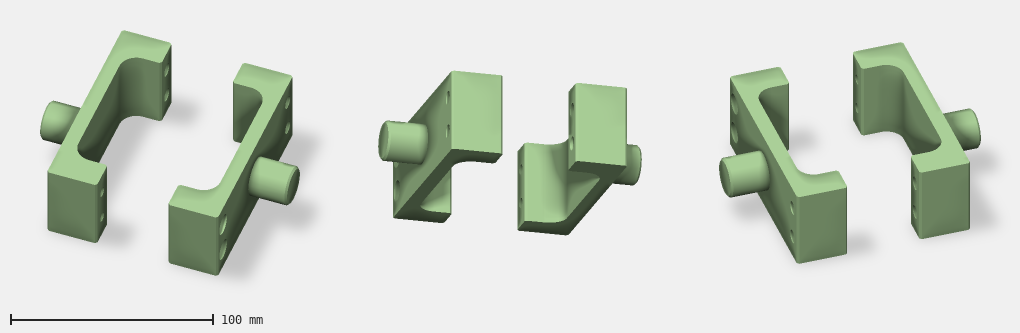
import cadquery as cq

TOTAL_LENGTH = 130.0
FRAME_WIDTH = 105.0
FRAME_HEIGHT = 41.0

BRACKET_DEPTH = 26.3
WALL = 7.5
OPENING_WIDTH = 75.0
INNER_RADIUS = 9.0
EDGE_CHAMFER = 1.0

TRUNNION_DIAMETER = 20.0
TRUNNION_LENGTH = 20.0
TRUNNION_CHAMFER = 1.0

HOLE_PITCH_Z = 17.5
CLEARANCE_DIAMETER = 6.9
COUNTERBORE_DIAMETER = 10.7
COUNTERBORE_DEPTH = BRACKET_DEPTH / 2
THREAD_DIAMETER = 5.1
THREAD_RELIEF_DEPTH = BRACKET_DEPTH / 2

OUTER_X = -TOTAL_LENGTH / 2 + TRUNNION_LENGTH
INNER_X = OUTER_X + BRACKET_DEPTH
ARM_WIDTH = (FRAME_WIDTH - OPENING_WIDTH) / 2
HOLE_Y = (FRAME_WIDTH - ARM_WIDTH) / 2


def frame():
    """C-shaped block, open toward +X, with chamfered upright outer edges."""
    block = cq.Workplane("XY").box(
        BRACKET_DEPTH, FRAME_WIDTH, FRAME_HEIGHT
    ).translate((OUTER_X + BRACKET_DEPTH / 2, 0, 0))
    opening_length = 2 * (BRACKET_DEPTH - WALL)
    opening = (
        cq.Workplane("XY")
        .box(opening_length, OPENING_WIDTH, FRAME_HEIGHT)
        .edges("|Z and <X")
        .fillet(INNER_RADIUS)
        .translate((INNER_X, 0, 0))
    )
    body = block.cut(opening)
    outer_corners = body.edges("|Z").edges("<X or >X")
    return outer_corners.chamfer(EDGE_CHAMFER)


def trunnion():
    """Chamfered stub shaft pointing in -X from the outer face."""
    return (
        cq.Workplane("YZ", origin=(OUTER_X, 0, 0))
        .circle(TRUNNION_DIAMETER / 2)
        .extrude(-TRUNNION_LENGTH)
        .faces("<X")
        .chamfer(TRUNNION_CHAMFER)
    )


def bore_pair(y, diameter, depth):
    """Two bores, one above the other, cut in from the outer face."""
    return (
        cq.Workplane("YZ", origin=(OUTER_X, y, 0))
        .rarray(1.3, HOLE_PITCH_Z, 1, 2)
        .circle(diameter / 2)
        .extrude(depth)
    )


def bracket():
    """Bracket with counterbored holes in its +Y arm and threaded holes in its -Y arm."""
    return (
        frame()
        .union(trunnion())
        .cut(bore_pair(HOLE_Y, CLEARANCE_DIAMETER, BRACKET_DEPTH))
        .cut(bore_pair(HOLE_Y, COUNTERBORE_DIAMETER, COUNTERBORE_DEPTH))
        .cut(bore_pair(-HOLE_Y, THREAD_DIAMETER, BRACKET_DEPTH))
        .cut(bore_pair(-HOLE_Y, CLEARANCE_DIAMETER, THREAD_RELIEF_DEPTH))
    )


brackets = []
for angle in (0, 180):
    brackets.append(bracket().rotate((0, 0, 0), (0, 0, 1), angle).val())

result = cq.Compound.makeCompound(brackets)